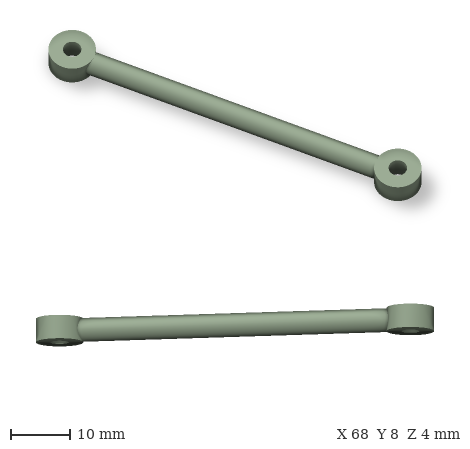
import cadquery as cq

hole_spacing = 60.0
eye_diameter = 8.0
eye_height = 4.0
pin_hole_diameter = 3.1
rod_diameter = 4.0


def make_rod():
    """Round rod along X, running from one eye center to the other."""
    return (
        cq.Workplane("YZ")
        .workplane(offset=-hole_spacing / 2)
        .circle(rod_diameter / 2)
        .extrude(hole_spacing)
    )


def make_end_cylinders(diameter):
    """Vertical cylinders of eye height, one at each end of the link.

    The second is the first turned half a turn, so both seam edges face the rod.
    """
    cylinder = (
        cq.Workplane("XY")
        .workplane(offset=-eye_height / 2)
        .center(-hole_spacing / 2, 0)
        .circle(diameter / 2)
        .extrude(eye_height)
    )
    opposite_cylinder = cylinder.rotate((0, 0, 0), (0, 0, 1), 180)
    return cylinder.union(opposite_cylinder)


link = make_rod().union(make_end_cylinders(eye_diameter))
result = link.cut(make_end_cylinders(pin_hole_diameter))